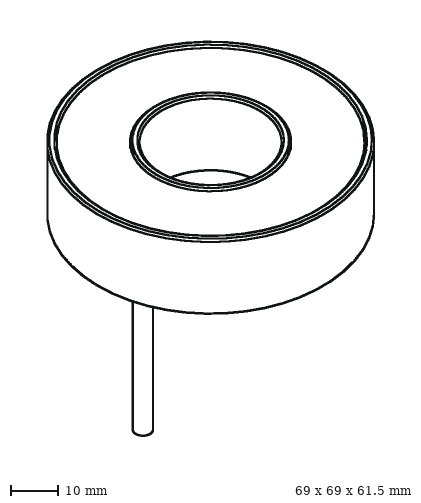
import cadquery as cq

outer_radius = 34.5
bore_radius = 15.0
ring_height = 20.0
edge_chamfer = 0.5

rim_width = 1.05
face_drop = 0.5
groove_width = 0.5
groove_depth = 1.5

inner_rim_radius = bore_radius + edge_chamfer + rim_width
outer_rim_radius = outer_radius - edge_chamfer - rim_width
face_height = ring_height - face_drop
groove_floor_height = face_height - groove_depth

overall_height = 61.5
lead_diameter = 4.35
lead_length = overall_height - ring_height
lead_offset = (outer_radius + bore_radius) / 2


def annulus(inner_radius, outer_radius, base_height, top_height):
    """Plain ring about the Z axis between two heights."""
    outline = cq.Workplane("XY").workplane(offset=base_height).circle(outer_radius).circle(inner_radius)
    return outline.extrude(top_height - base_height)


def make_ring():
    """Ring with the outer edges and both bore mouths chamfered."""
    ring = annulus(bore_radius, outer_radius, 0, ring_height)
    return ring.faces("<Z or >Z").edges().chamfer(edge_chamfer)


def cut_top_face(ring):
    """Sink the face between the rims and cut a groove beside each rim."""
    ring = ring.cut(annulus(inner_rim_radius, outer_rim_radius, face_height, ring_height))
    for groove_inner_radius in (inner_rim_radius, outer_rim_radius - groove_width):
        groove_outer_radius = groove_inner_radius + groove_width
        ring = ring.cut(annulus(groove_inner_radius, groove_outer_radius, groove_floor_height, face_height))
    return ring


def make_lead():
    """Straight round lead running down from the underside of the ring."""
    return cq.Workplane("XY").center(0, -lead_offset).circle(lead_diameter / 2).extrude(-lead_length)


result = cut_top_face(make_ring()).union(make_lead())